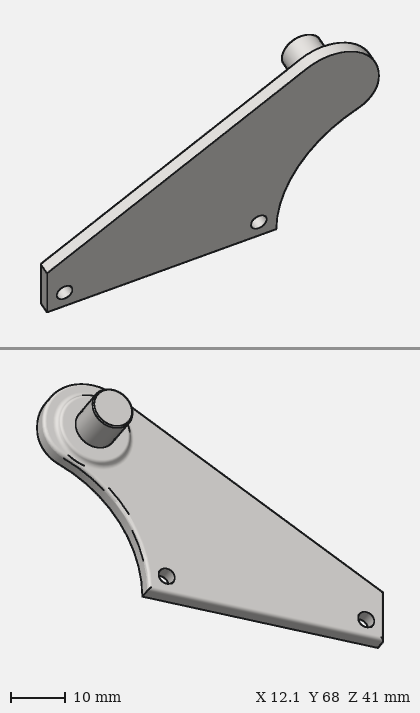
import cadquery as cq
import math

length = 68.0
plate_thickness = 3.0
lobe_radius = 10.0
base_z = -31.0
end_height = 10.4
edge_radius = 0.7

cutout_radius = 25.95
cutout_center_y = 14.95
lobe_blend_radius = 6.8

hole_diameter = 3.2
hole_inset = 3.6

boss_face_radius = 6.45
boss_foot_radius = 8.0
boss_height = 1.0
boss_crown_radius = 0.7
pin_radius = 4.0
pin_length = 8.1
pin_chamfer = 0.3

end_y = lobe_radius - length
end_top_z = base_z + end_height
cutout_corner_y = cutout_center_y - cutout_radius


def point_on_circle(center_y, center_z, radius, angle):
    return (center_y + radius * math.cos(angle), center_z + radius * math.sin(angle))


def make_plate():
    corner_distance = math.hypot(end_y, end_top_z)
    corner_angle = math.atan2(end_top_z, end_y) % (2 * math.pi)
    tangent_angle = corner_angle - math.acos(lobe_radius / corner_distance)
    lobe_tangent = point_on_circle(0, 0, lobe_radius, tangent_angle)

    center_distance = math.hypot(cutout_center_y, base_z)
    center_angle = math.atan2(base_z, cutout_center_y)
    cosine = (lobe_radius**2 + center_distance**2 - cutout_radius**2) / (2 * lobe_radius * center_distance)
    meeting_angle = center_angle + math.acos(cosine)
    meeting_point = point_on_circle(0, 0, lobe_radius, meeting_angle)
    lobe_middle = point_on_circle(0, 0, lobe_radius, (tangent_angle + meeting_angle) / 2)

    meeting_on_cutout = math.atan2(meeting_point[1] - base_z, meeting_point[0] - cutout_center_y)
    cutout_middle = point_on_circle(
        cutout_center_y, base_z, cutout_radius, (meeting_on_cutout + math.pi) / 2
    )

    plate = (
        cq.Workplane("YZ")
        .moveTo(cutout_corner_y, base_z)
        .lineTo(end_y, base_z)
        .lineTo(end_y, end_top_z)
        .lineTo(*lobe_tangent)
        .threePointArc(lobe_middle, meeting_point)
        .threePointArc(cutout_middle, (cutout_corner_y, base_z))
        .close()
        .extrude(plate_thickness)
    )
    meeting_edge = cq.selectors.NearestToPointSelector((plate_thickness / 2, *meeting_point))
    plate = plate.edges("|X").edges(meeting_edge).fillet(lobe_blend_radius)
    return plate.faces("<X").edges().fillet(edge_radius)


def make_boss():
    flank_width = boss_foot_radius - boss_face_radius
    turn = 2 * math.atan(boss_height / flank_width)
    foot_radius = flank_width / math.sin(turn) - boss_crown_radius

    def crown_point(angle):
        return (
            -boss_height + boss_crown_radius * (1 - math.cos(angle)),
            boss_face_radius + boss_crown_radius * math.sin(angle),
        )

    def foot_point(angle):
        return (
            -foot_radius * (1 - math.cos(angle)),
            boss_foot_radius - foot_radius * math.sin(angle),
        )

    root_x = plate_thickness / 2
    return (
        cq.Workplane("XY")
        .moveTo(root_x, 0)
        .lineTo(-boss_height, 0)
        .lineTo(-boss_height, boss_face_radius)
        .threePointArc(crown_point(turn / 2), crown_point(turn))
        .threePointArc(foot_point(turn / 2), (0, boss_foot_radius))
        .lineTo(root_x, boss_face_radius)
        .close()
        .revolve(360, (0, 0, 0), (1, 0, 0))
    )


def make_pin():
    pin = cq.Workplane("YZ").circle(pin_radius).extrude(-(boss_height + pin_length))
    return pin.faces("<X").edges().chamfer(pin_chamfer)


def make_holes():
    hole_z = base_z + hole_inset
    centers = [
        (cutout_corner_y - hole_inset, hole_z),
        (end_y + hole_inset, hole_z),
    ]
    return cq.Workplane("YZ").pushPoints(centers).circle(hole_diameter / 2).extrude(plate_thickness)


result = make_plate().union(make_boss()).union(make_pin()).cut(make_holes())